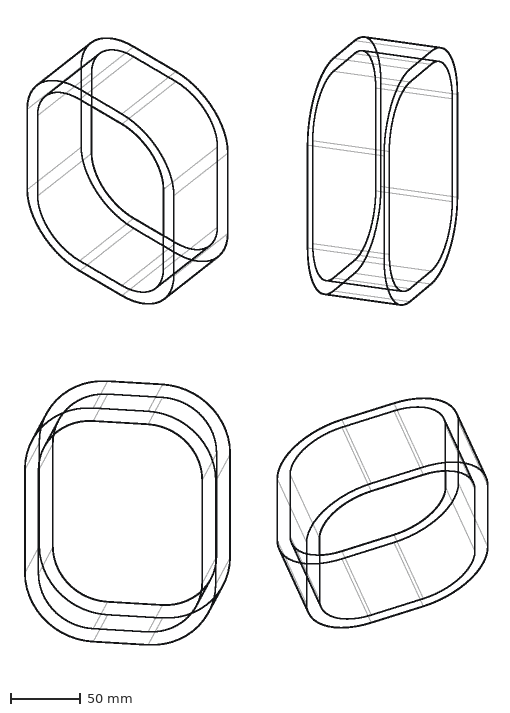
import cadquery as cq

width = 140.5
depth = 60.0
height = 179.5

wall = 10.0
outer_radius = 50.0
inner_radius = outer_radius - wall


def rounded_block(size_x, size_z, corner_radius):
    """Centred block through the full depth, with its four Y-direction edges rounded."""
    return cq.Workplane("XY").box(size_x, depth, size_z).edges("|Y").fillet(corner_radius)


outer = rounded_block(width, height, outer_radius)
opening = rounded_block(width - 2 * wall, height - 2 * wall, inner_radius)
result = outer.cut(opening)